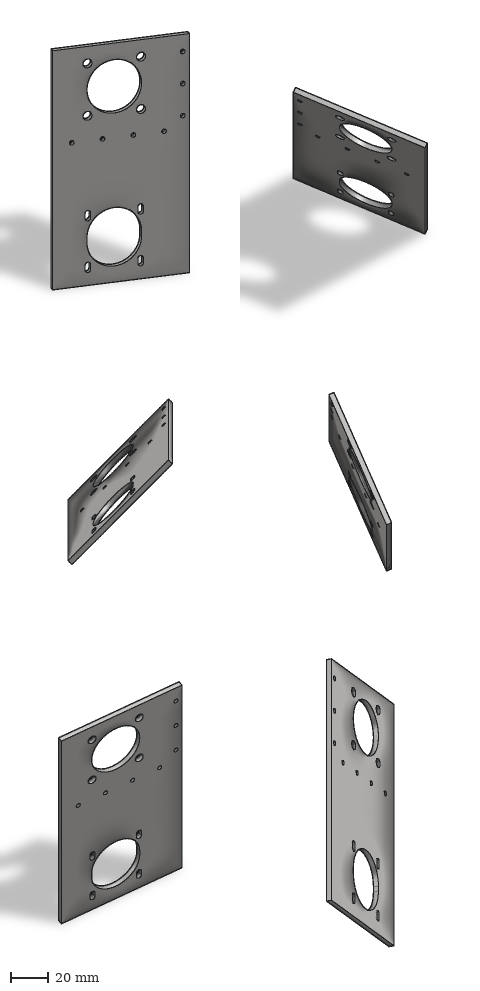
import cadquery as cq

thickness = 3.0
width = 77.9
height = 139.2

opening_y = 35.0
opening_diameter = 31.0

upper_z = 114.0
upper_hole_spacing = 30.5
upper_hole_diameter = 5.0

lower_z = 26.5
adjustment = 2.9
slot_pattern_z = 25.6
slot_spacing = 30.0
slot_width = 3.0

small_diameter = 2.5
column_y = 74.0
column_z = 110.5
column_pitch = 18.6
column_count = 3
row_y = 37.2
row_z = 84.2
row_pitch = 17.5
row_count = 4


def square_points(center_y, center_z, spacing):
    """Corners of a square hole pattern."""
    half = spacing / 2
    return [(center_y + i * half, center_z + j * half) for i in (-1, 1) for j in (-1, 1)]


def line_offsets(count, pitch):
    """Evenly spaced offsets centred on zero."""
    return [(i - (count - 1) / 2) * pitch for i in range(count)]


def round_cutter(points, diameter):
    """Cylinders through the plate at the given (Y, Z) points."""
    return cq.Workplane("YZ").pushPoints(points).circle(diameter / 2).extrude(thickness)


def slot_cutter(points, slot_diameter):
    """Vertical slots through the plate, lengthened by the adjustment travel."""
    length = slot_diameter + adjustment
    return cq.Workplane("YZ").pushPoints(points).slot2D(length, slot_diameter, 90).extrude(thickness)


plate = cq.Workplane("YZ").rect(width, height, centered=False).extrude(thickness)

plate = plate.cut(round_cutter([(opening_y, upper_z)], opening_diameter))
upper_holes = square_points(opening_y, upper_z, upper_hole_spacing)
plate = plate.cut(round_cutter(upper_holes, upper_hole_diameter))

plate = plate.cut(slot_cutter([(opening_y, lower_z)], opening_diameter))
lower_slots = square_points(opening_y, slot_pattern_z, slot_spacing)
plate = plate.cut(slot_cutter(lower_slots, slot_width))

column = [(column_y, column_z + offset) for offset in line_offsets(column_count, column_pitch)]
row = [(row_y + offset, row_z) for offset in line_offsets(row_count, row_pitch)]
plate = plate.cut(round_cutter(column + row, small_diameter))

result = plate